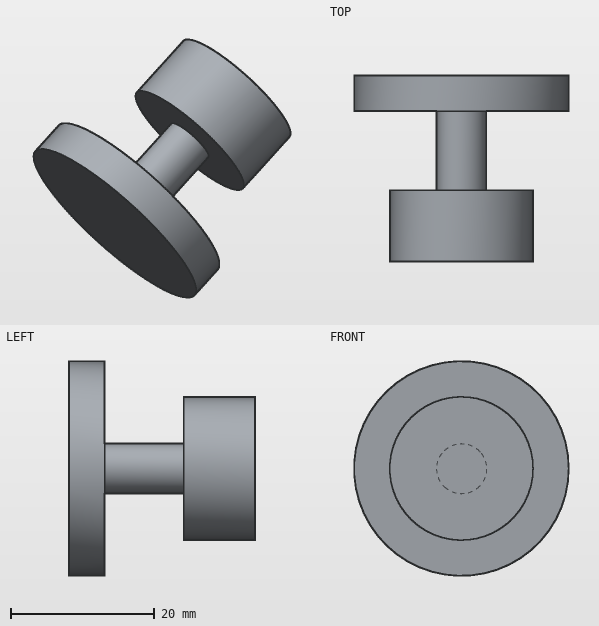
import cadquery as cq

flange_diameter = 30.0
flange_thickness = 5.0
stem_diameter = 7.0
knob_diameter = 20.0
knob_length = 10.0
total_length = 26.0

stem_length = total_length - flange_thickness - knob_length


def add_disc(body, diameter, length):
    """Add a coaxial cylinder onto the -Y end face of the body."""
    return body.faces("<Y").workplane().circle(diameter / 2).extrude(length)


flange = cq.Workplane("XZ").circle(flange_diameter / 2).extrude(flange_thickness)

flange_and_stem = add_disc(flange, stem_diameter, stem_length)
result = add_disc(flange_and_stem, knob_diameter, knob_length)